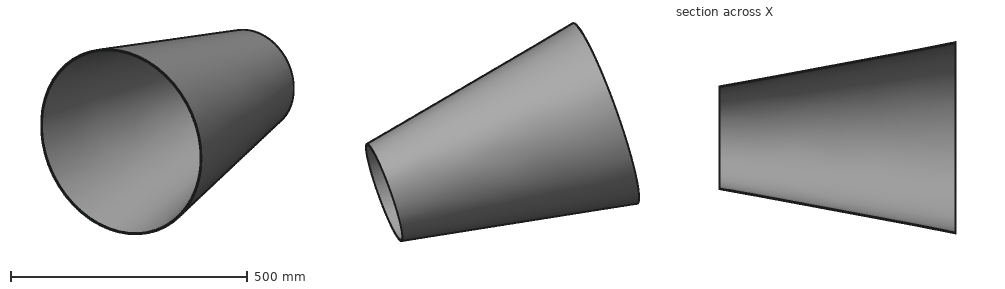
import cadquery as cq

length = 500.0
large_diameter = 406.5
small_diameter = 219.0
wall = 3.0

large_radius = large_diameter / 2
small_radius = small_diameter / 2

wall_section = (
    cq.Workplane("XY")
    .moveTo(large_radius - wall, 0)
    .lineTo(large_radius, 0)
    .lineTo(small_radius, length)
    .lineTo(small_radius - wall, length)
    .close()
)

result = wall_section.revolve(360, (0, 0, 0), (0, 1, 0))